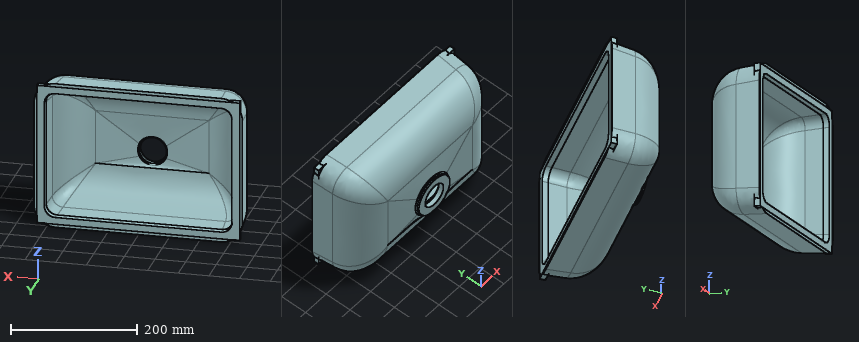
import cadquery as cq
import math


LENGTH = 340.0
HEIGHT = 245.2
CORNER_RADIUS = 34.7
DRAFT = math.radians(4)
FLOOR_DEPTH = 100.3
FLOOR_EDGE_RADIUS = 64.5

WALL = 17.0
FLOOR_THICKNESS = 6.0
CAVITY_EDGE_RADIUS = 57.8

DRAIN_Z = -17.5
DRAIN_HOLE_RADIUS = 22.0
SEAT_RADIUS = 40.0
SEAT_DEPTH = 104.5
BOSS_RADIUS = 37.7
BOSS_DEPTH = 110.0
BOSS_CONE_DEPTH = 106.5
DRAIN_HOLE_LENGTH = 9.5
HOLE_START_DEPTH = BOSS_DEPTH - DRAIN_HOLE_LENGTH
CONE_LENGTH = BOSS_CONE_DEPTH - SEAT_DEPTH
INNER_SEAT_RADIUS = 24.0
INNER_SEAT_DEPTH = HOLE_START_DEPTH - CONE_LENGTH

FRAME_LENGTH = 331.0
FRAME_HEIGHT = 234.3
FRAME_DEPTH = 10.0

ROUND_STEPS = 8
POINTED_RADIUS = 0.17


def rounded_outline(depth, half_x, half_z, radius):
    """Rounded rectangle at the given depth below the rim."""
    block = cq.Workplane("XZ", origin=(0, -depth, 0)).rect(2 * half_x, 2 * half_z).extrude(3.5)
    return block.edges("|Y").fillet(radius).faces(">Y").wires().val()


def sloping_floor(half_x, half_z, depth, drain_radius, drain_depth):
    """Four ruled faces running from a rectangle down to the drain circle."""
    corners = [(half_x, half_z), (-half_x, half_z), (-half_x, -half_z), (half_x, -half_z)]
    rectangle = cq.Wire.makePolygon([cq.Vector(x, -depth, z) for x, z in corners], close=True)

    def circle_point(angle):
        return cq.Vector(
            drain_radius * math.cos(angle), -drain_depth, DRAIN_Z + drain_radius * math.sin(angle)
        )

    angles = [math.atan2(z, x) % math.tau for x, z in corners]
    arcs = []
    for start, end in zip(angles, angles[1:] + [angles[0] + math.tau]):
        arcs.append(
            cq.Edge.makeThreePointArc(
                circle_point(start), circle_point((start + end) / 2), circle_point(end)
            )
        )
    return cq.Solid.makeLoft([rectangle, cq.Wire.assembleEdges(arcs)], True)


def basin_form(half_x, half_z, corner, floor_depth, edge_radius, drain_radius, drain_depth):
    """Solid basin: drafted walls, large floor round and sloping floor."""
    wall_depth = floor_depth - edge_radius * (1 - math.sin(DRAFT))
    wall_inset = wall_depth * math.tan(DRAFT)
    round_inset = edge_radius * math.cos(DRAFT)

    walls = cq.Solid.makeLoft(
        [
            rounded_outline(0, half_x, half_z, corner),
            rounded_outline(wall_depth, half_x - wall_inset, half_z - wall_inset, corner),
        ],
        True,
    )

    sections = []
    for step in range(ROUND_STEPS + 1):
        angle = DRAFT + (math.pi / 2 - DRAFT) * step / ROUND_STEPS
        travel = edge_radius * (math.cos(DRAFT) - math.cos(angle))
        depth = wall_depth + edge_radius * (math.sin(angle) - math.sin(DRAFT))
        radius = max(corner * (1 - travel / round_inset), POINTED_RADIUS)
        inset = wall_inset + travel
        sections.append(rounded_outline(depth, half_x - inset, half_z - inset, radius))
    floor_round = cq.Solid.makeLoft(sections, False)

    floor_inset = wall_inset + round_inset
    floor = sloping_floor(
        half_x - floor_inset, half_z - floor_inset, floor_depth, drain_radius, drain_depth
    )
    return cq.Workplane(walls).union(cq.Workplane(floor_round)).union(cq.Workplane(floor))


def drain_cylinder(radius, start_depth, end_depth):
    """Round bar on the drain axis between two depths."""
    return (
        cq.Workplane("XZ", origin=(0, -start_depth, DRAIN_Z))
        .circle(radius)
        .extrude(end_depth - start_depth)
    )


def drain_cone(wide_radius, narrow_radius, start_depth):
    """Taper on the drain axis, narrowing toward the outer face."""
    base = cq.Vector(0, -start_depth, DRAIN_Z)
    cone = cq.Solid.makeCone(wide_radius, narrow_radius, CONE_LENGTH, base, cq.Vector(0, -1, 0))
    return cq.Workplane(cone)


def frame_block():
    """Full rectangular block that the rim frame occupies before its opening is cut."""
    return cq.Workplane("XZ").rect(FRAME_LENGTH, FRAME_HEIGHT).extrude(FRAME_DEPTH)


def make_cavity():
    """Inside of the basin, ending at the top of the drain hole."""
    bowl = basin_form(
        LENGTH / 2 - WALL,
        HEIGHT / 2 - WALL,
        CORNER_RADIUS - WALL,
        FLOOR_DEPTH - FLOOR_THICKNESS,
        CAVITY_EDGE_RADIUS,
        INNER_SEAT_RADIUS,
        INNER_SEAT_DEPTH,
    )
    funnel = drain_cone(INNER_SEAT_RADIUS, DRAIN_HOLE_RADIUS, INNER_SEAT_DEPTH)
    return bowl.union(funnel)


def make_basin(cavity):
    """Hollow basin with the drain boss and a recess for the rim frame."""
    outside = basin_form(
        LENGTH / 2, HEIGHT / 2, CORNER_RADIUS, FLOOR_DEPTH, FLOOR_EDGE_RADIUS, SEAT_RADIUS, SEAT_DEPTH
    )
    boss = drain_cylinder(BOSS_RADIUS, BOSS_CONE_DEPTH, BOSS_DEPTH)
    drain_hole = drain_cylinder(DRAIN_HOLE_RADIUS, HOLE_START_DEPTH, BOSS_DEPTH)
    neck = drain_cone(SEAT_RADIUS, BOSS_RADIUS, SEAT_DEPTH)
    return outside.union(neck).union(boss).cut(cavity).cut(drain_hole).cut(frame_block())


def make_rim_frame(cavity):
    """Flat frame in the rim recess, flush with the inside of the basin."""
    return frame_block().cut(cavity)


cavity = make_cavity()
basin = make_basin(cavity)
rim_frame = make_rim_frame(cavity)
result = cq.Compound.makeCompound([*basin.solids().vals(), *rim_frame.solids().vals()])